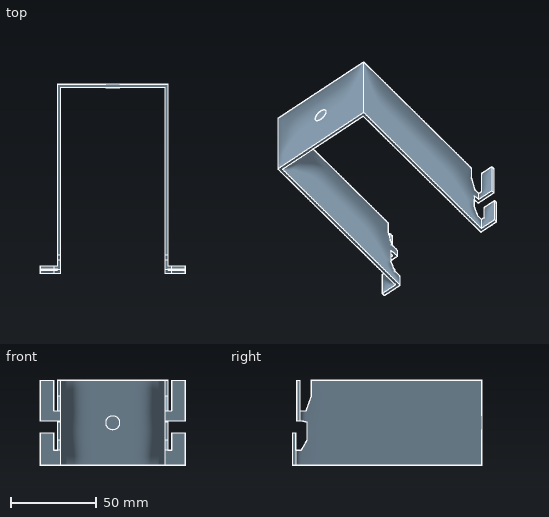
import cadquery as cq

SHEET = 2.0
BODY_WIDTH = 65.0
BODY_LENGTH = 111.0
BODY_HEIGHT = 50.0

HOOK_REACH = 10.0
FINGER_WIDTH = 8.0
LOWER_HOOK_TOP = 19.0
LOWER_HOOK_FLOOR = 9.0
UPPER_HOOK_FRONT = 2.5
UPPER_HOOK_BOTTOM = 26.0
UPPER_HOOK_FLOOR = 31.9
UPPER_HOOK_TOP = 49.9

UPPER_EDGE_Y = 11.0
UPPER_SLOPE_TOP = 40.6
UPPER_SLOPE_FOOT_Y = 7.9
MIDDLE_EDGE_Y = 8.5
MIDDLE_EDGE_TOP = 25.3
UNDERCUT_FRONT_Y = 5.5
LOWER_SLOPE_TOP = 14.8
LOWER_SLOPE_FOOT_Y = 5.2

RIVET_DIAMETER = 8.2
RIVET_INNER_PROUD = 0.1
RIVET_OUTER_PROUD = 0.2
RIVET_Z = BODY_HEIGHT / 2

HALF_WIDTH = BODY_WIDTH / 2
INNER_HALF_WIDTH = HALF_WIDTH - SHEET


def rear_wall():
    """Flat rear wall joining the two side walls."""
    wall = cq.Workplane("XY").box(BODY_WIDTH, SHEET, BODY_HEIGHT, centered=(True, False, False))
    return wall.translate((0, BODY_LENGTH - SHEET, 0))


def side_wall():
    """Side wall at +X, with two hook arms cut into its front edge."""
    outline = [
        (0, 0),
        (BODY_LENGTH, 0),
        (BODY_LENGTH, BODY_HEIGHT),
        (UPPER_EDGE_Y, BODY_HEIGHT),
        (UPPER_EDGE_Y, UPPER_SLOPE_TOP),
        (UPPER_SLOPE_FOOT_Y, UPPER_HOOK_FLOOR),
        (UPPER_HOOK_FRONT, UPPER_HOOK_FLOOR),
        (UPPER_HOOK_FRONT, UPPER_HOOK_BOTTOM),
        (UNDERCUT_FRONT_Y, UPPER_HOOK_BOTTOM),
        (MIDDLE_EDGE_Y, MIDDLE_EDGE_TOP),
        (MIDDLE_EDGE_Y, LOWER_SLOPE_TOP),
        (LOWER_SLOPE_FOOT_Y, LOWER_HOOK_FLOOR),
        (0, LOWER_HOOK_FLOOR),
    ]
    return cq.Workplane("YZ").workplane(offset=INNER_HALF_WIDTH).polyline(outline).close().extrude(SHEET)


def hook(front_y, bottom, floor, top):
    """L-shaped hook at +X: a foot bent outward from the wall and an upright finger."""
    tip = HALF_WIDTH + HOOK_REACH
    outline = [
        (INNER_HALF_WIDTH, bottom),
        (tip, bottom),
        (tip, top),
        (tip - FINGER_WIDTH, top),
        (tip - FINGER_WIDTH, floor),
        (INNER_HALF_WIDTH, floor),
    ]
    return cq.Workplane("XZ", origin=(0, front_y, 0)).polyline(outline).close().extrude(-SHEET)


def rivet():
    """Round rivet through the rear wall, standing slightly proud of both its faces."""
    front_y = BODY_LENGTH - SHEET - RIVET_INNER_PROUD
    length = SHEET + RIVET_INNER_PROUD + RIVET_OUTER_PROUD
    return cq.Workplane("XZ", origin=(0, front_y, RIVET_Z)).circle(RIVET_DIAMETER / 2).extrude(-length)


side = side_wall()
side = side.union(hook(0, 0, LOWER_HOOK_FLOOR, LOWER_HOOK_TOP))
side = side.union(hook(UPPER_HOOK_FRONT, UPPER_HOOK_BOTTOM, UPPER_HOOK_FLOOR, UPPER_HOOK_TOP))

result = rear_wall().union(rivet()).union(side).union(side.mirror("YZ"))